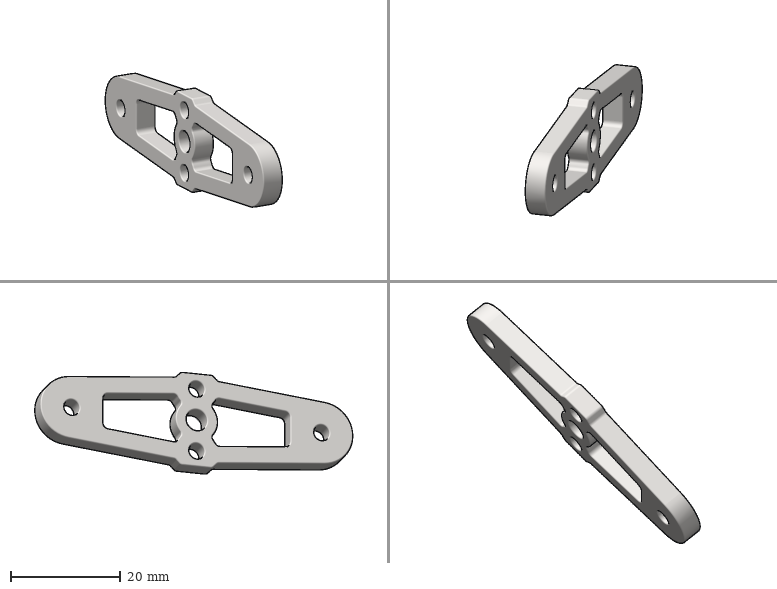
import cadquery as cq
import math

LENGTH = 59.95
THICKNESS = 4.0
HEIGHT = 18.0
END_RADIUS = 6.0
TAPER_ANGLE = math.radians(5.5)
EDGE_RADIUS = 0.25

BLOCK_TOP_HALF_WIDTH = 3.0
BLOCK_CORNER_RADIUS = 0.8
SHOULDER_RADIUS = 0.8

RIM_WIDTH = 3.3
WINDOW_OUTER_X = 18.0
WINDOW_CORNER_RADIUS = 1.0
BOSS_CORNER_RADIUS = 1.0
NECK_RADIUS = 0.8
BOSS_RADIUS = 4.0

SMALL_HOLE_DIAMETER = 3.0
CENTER_HOLE_DIAMETER = 4.0
CROSS_HOLE_Z = 6.0

end_center_x = LENGTH / 2 - END_RADIUS
half_height = HEIGHT / 2


def taper_height(x, inset=0.0):
    """Half height at x of the long edge, moved inward by inset."""
    return (END_RADIUS - inset) / math.cos(TAPER_ANGLE) + (end_center_x - x) * math.tan(TAPER_ANGLE)


def front_plane():
    """XZ plane on the +Y face, from which every outline is extruded toward -Y."""
    return cq.Workplane("XZ", origin=(0, THICKNESS / 2, 0))


def extrude_through(outline):
    return outline.extrude(THICKNESS)


def tapered_plate():
    tangent_x = end_center_x + END_RADIUS * math.sin(TAPER_ANGLE)
    tangent_z = END_RADIUS * math.cos(TAPER_ANGLE)
    middle_z = taper_height(0)
    outline = (
        front_plane()
        .moveTo(0, middle_z)
        .lineTo(tangent_x, tangent_z)
        .threePointArc((LENGTH / 2, 0), (tangent_x, -tangent_z))
        .lineTo(0, -middle_z)
        .lineTo(-tangent_x, -tangent_z)
        .threePointArc((-LENGTH / 2, 0), (-tangent_x, tangent_z))
        .close()
    )
    return extrude_through(outline)


def central_block():
    foot_half_width = BLOCK_TOP_HALF_WIDTH + half_height
    outline = front_plane().polyline([
        (BLOCK_TOP_HALF_WIDTH, half_height),
        (foot_half_width, 0),
        (BLOCK_TOP_HALF_WIDTH, -half_height),
        (-BLOCK_TOP_HALF_WIDTH, -half_height),
        (-foot_half_width, 0),
        (-BLOCK_TOP_HALF_WIDTH, half_height),
    ]).close()
    return extrude_through(outline)


def edges_at(body, x, z):
    """Edges along Y through the four mirrored points (+-x, +-z)."""
    reach = 0.05

    def near(edge):
        center = edge.Center()
        return abs(abs(center.x) - x) < reach and abs(abs(center.z) - z) < reach

    return body.edges("|Y").filter(near)


def lever_blank():
    blank = tapered_plate().union(central_block())
    slope = math.tan(TAPER_ANGLE)
    shoulder_x = (BLOCK_TOP_HALF_WIDTH + half_height - taper_height(0)) / (1 - slope)
    blank = edges_at(blank, shoulder_x, taper_height(shoulder_x)).fillet(SHOULDER_RADIUS)
    return edges_at(blank, BLOCK_TOP_HALF_WIDTH, half_height).fillet(BLOCK_CORNER_RADIUS)


def window():
    """Cutter for the +X window, a tapered opening scalloped by the round bosses."""
    outer_z = taper_height(WINDOW_OUTER_X, RIM_WIDTH)
    middle_z = taper_height(0, RIM_WIDTH)
    outline = front_plane().polyline([
        (WINDOW_OUTER_X, outer_z),
        (WINDOW_OUTER_X, -outer_z),
        (0, -middle_z),
        (0, middle_z),
    ]).close()
    boss_centers = [(0, 0), (0, CROSS_HOLE_Z), (0, -CROSS_HOLE_Z)]
    bosses = extrude_through(front_plane().pushPoints(boss_centers).circle(BOSS_RADIUS))
    cutter = extrude_through(outline).cut(bosses)

    neck_z = CROSS_HOLE_Z / 2
    neck_x = math.sqrt(BOSS_RADIUS**2 - neck_z**2)

    slope = math.tan(TAPER_ANGLE)
    drop = CROSS_HOLE_Z - middle_z
    root = math.sqrt((1 + slope**2) * BOSS_RADIUS**2 - drop**2)
    boss_x = (root - slope * drop) / (1 + slope**2)
    boss_z = taper_height(boss_x, RIM_WIDTH)

    cutter = edges_at(cutter, WINDOW_OUTER_X, outer_z).fillet(WINDOW_CORNER_RADIUS)
    cutter = edges_at(cutter, boss_x, boss_z).fillet(BOSS_CORNER_RADIUS)
    return edges_at(cutter, neck_x, neck_z).fillet(NECK_RADIUS)


def holes():
    small_centers = [
        (end_center_x, 0),
        (-end_center_x, 0),
        (0, CROSS_HOLE_Z),
        (0, -CROSS_HOLE_Z),
    ]
    small = extrude_through(front_plane().pushPoints(small_centers).circle(SMALL_HOLE_DIAMETER / 2))
    center = extrude_through(front_plane().circle(CENTER_HOLE_DIAMETER / 2))
    return small.union(center)


lever = lever_blank().cut(window()).cut(window().mirror("YZ")).cut(holes())

result = lever.faces("<Y or >Y").edges().fillet(EDGE_RADIUS)